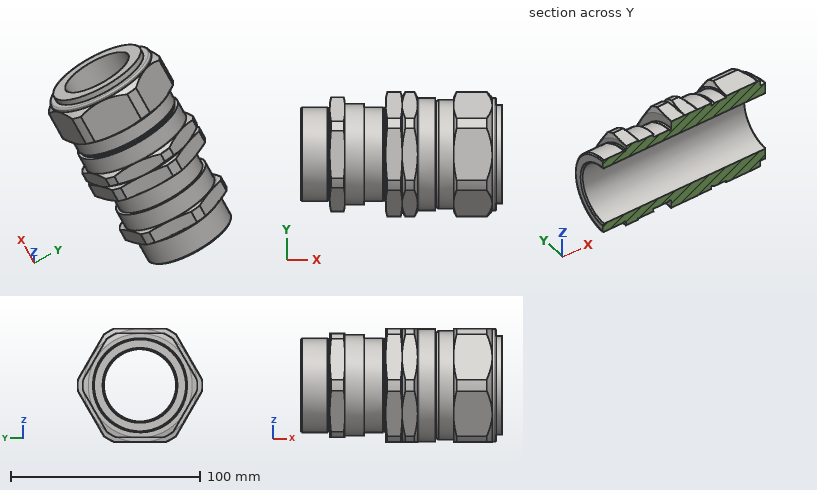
import cadquery as cq
import math


total_length = 106.3

bore_radius = 19.0
bore_chamfer = 0.9

thread_radius = 25.0
thread_chamfer = 0.7
groove_radius = thread_radius - thread_chamfer
thread_end = 14.6
second_thread_end = 43.9

collar_radius = 26.8
collar_end = 33.4

small_flats = 55.1
small_corners = 60.5
small_start = 15.3
small_end = 23.3
small_chamfer = 0.6

large_flats = 60.0
large_corners = 66.0
pair_start = 44.9
pair_split = 53.5
pair_end = 61.7
pair_front_chamfer = 0.7
pair_rear_chamfer = 1.7
cap_start = 80.7
cap_end = 101.1
cap_front_chamfer = 1.6
cap_rear_chamfer = 2.9

sleeve_radius = 29.9
sleeve_start = 62.3
sleeve_end = 71.0
neck_groove_radius = 28.1
neck_groove_end = 71.6
neck_radius = 28.9
neck_chamfer_end = 72.9

rear_radius = sleeve_radius
rear_end = 103.2
rear_fillet = 1.0
seal_radius = 26.1


def revolve_about_x(outline):
    """Turn a closed (x, radius) outline around the X axis."""
    return outline.close().revolve(360, (0, 0, 0), (1, 0, 0))


def hex_nut(start, end, flats, corners, front_chamfer, rear_chamfer):
    """Hexagonal nut with rounded corners and a conical chamfer at each end.

    The cones shrink to the circle that touches the flats at the end faces.
    """
    flat_radius = flats / 2
    corner_radius = corners / 2
    hex_prism = (
        cq.Workplane("YZ", origin=(start, 0, 0))
        .polygon(6, flats / math.cos(math.pi / 6))
        .extrude(end - start)
    )
    envelope = revolve_about_x(
        cq.Workplane("XY").polyline([
            (start, 0),
            (start, flat_radius),
            (start + front_chamfer, corner_radius),
            (end - rear_chamfer, corner_radius),
            (end, flat_radius),
            (end, 0),
        ])
    )
    return hex_prism.intersect(envelope)


def round_body():
    """Stepped core that runs through all the nuts."""
    fillet_offset = rear_fillet * (1 - math.sqrt(0.5))
    outline = (
        cq.Workplane("XY")
        .moveTo(0, 0)
        .lineTo(0, thread_radius - thread_chamfer)
        .lineTo(thread_chamfer, thread_radius)
        .lineTo(thread_end - thread_chamfer, thread_radius)
        .lineTo(thread_end, groove_radius)
        .lineTo(small_start, thread_radius)
        .lineTo(small_end, thread_radius)
        .lineTo(small_end, collar_radius)
        .lineTo(collar_end, collar_radius)
        .lineTo(collar_end, thread_radius)
        .lineTo(second_thread_end - thread_chamfer, thread_radius)
        .lineTo(second_thread_end, groove_radius)
        .lineTo(pair_start, thread_radius)
        .lineTo(pair_end, thread_radius)
        .lineTo(pair_end, large_flats / 2)
        .lineTo(sleeve_start, sleeve_radius)
        .lineTo(sleeve_end, sleeve_radius)
        .lineTo(sleeve_end, neck_groove_radius)
        .lineTo(neck_groove_end, neck_groove_radius)
        .lineTo(neck_chamfer_end, neck_radius)
        .lineTo(cap_end, neck_radius)
        .lineTo(cap_end, rear_radius)
        .lineTo(rear_end - rear_fillet, rear_radius)
        .threePointArc(
            (rear_end - fillet_offset, rear_radius - fillet_offset),
            (rear_end, rear_radius - rear_fillet),
        )
        .lineTo(rear_end, seal_radius)
        .lineTo(total_length, seal_radius)
        .lineTo(total_length, 0)
    )
    return revolve_about_x(outline)


def bore():
    """Through bore, chamfered at the entry."""
    return revolve_about_x(
        cq.Workplane("XY").polyline([
            (0, 0),
            (0, bore_radius + bore_chamfer),
            (bore_chamfer, bore_radius),
            (total_length, bore_radius),
            (total_length, 0),
        ])
    )


small_nut = hex_nut(small_start, small_end, small_flats, small_corners, small_chamfer, small_chamfer)
pair_front_nut = hex_nut(
    pair_start, pair_split, large_flats, large_corners, pair_front_chamfer, pair_front_chamfer
)
pair_rear_nut = hex_nut(
    pair_split, pair_end, large_flats, large_corners, pair_rear_chamfer, pair_rear_chamfer
)
cap_nut = hex_nut(cap_start, cap_end, large_flats, large_corners, cap_front_chamfer, cap_rear_chamfer)

result = round_body()
for nut in (small_nut, pair_front_nut, pair_rear_nut, cap_nut):
    result = result.union(nut)
result = result.cut(bore())